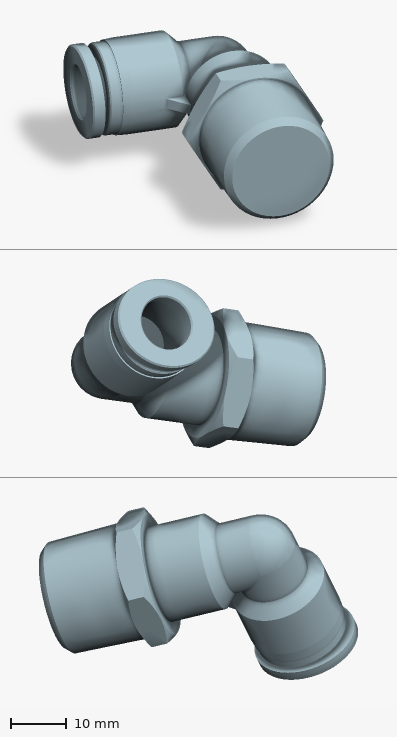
import cadquery as cq
import math


neck_radius = 6.45
shell_radius = 17.6 / 2
cone_length = shell_radius - neck_radius
thread_arm_cone_at = 6.45
tube_arm_cone_at = 6.85
taper_at = 18.3
step_at = 20.3
mouth_at = 22.6
taper_end_radius = 8.7
mouth_radius = 16.9 / 2
mouth_chamfer = 0.25
gusset_leg = 3.5
gusset_thickness = 1.95

sleeve_outer_radius = 11.9 / 2
sleeve_bore_radius = 9.75 / 2
bore_chamfer = 0.3
tube_hole_depth = 12.12
sleeve_length = 5.6
flange_width = 19.0
flange_height = 16.6
flange_at = 23.9
flange_end_at = 26.15
flange_chamfer = 0.3
sleeve_inner_at = flange_end_at - sleeve_length
tube_stop_at = flange_end_at - tube_hole_depth

hex_flats = 22.2
hex_at = 19.0
hex_end_at = 23.95
hex_chamfer_angle = 30
thread_end_at = 39.0
thread_root_radius = 10.7
thread_tip_radius = 10.3
thread_end_radius = 9.1
thread_chamfer_length = 1.3


def revolve_x(profile):
    """Solid of revolution about X from (position, radius) points."""
    return cq.Workplane("XY").polyline(profile).close().revolve(360, (0, 0, 0), (1, 0, 0))


def revolve_tube_arm(profile):
    """Solid of revolution about the -Y arm from (position, radius) points."""
    return revolve_x(profile).rotate((0, 0, 0), (0, 0, 1), -90)


def make_gusset():
    corner = shell_radius
    tip = shell_radius + gusset_leg
    return (
        cq.Workplane("XY")
        .polyline([(0, 0), (corner, 0), (tip, -corner), (corner, -tip), (0, -corner)])
        .close()
        .extrude(gusset_thickness / 2, both=True)
    )


def make_elbow():
    thread_arm = revolve_x([
        (0, 0),
        (0, neck_radius),
        (thread_arm_cone_at, neck_radius),
        (thread_arm_cone_at + cone_length, shell_radius),
        (hex_at, shell_radius),
        (hex_at, 0),
    ])
    tube_arm = revolve_tube_arm([
        (0, 0),
        (0, neck_radius),
        (tube_arm_cone_at, neck_radius),
        (tube_arm_cone_at + cone_length, shell_radius),
        (taper_at, shell_radius),
        (step_at, taper_end_radius),
        (step_at, mouth_radius),
        (mouth_at - mouth_chamfer, mouth_radius),
        (mouth_at, mouth_radius - mouth_chamfer),
        (mouth_at, 0),
    ])
    socket = revolve_tube_arm([
        (tube_stop_at, 0),
        (tube_stop_at, sleeve_bore_radius),
        (sleeve_inner_at, sleeve_bore_radius),
        (sleeve_inner_at, sleeve_outer_radius),
        (mouth_at, sleeve_outer_radius),
        (mouth_at, 0),
    ])
    corner_ball = cq.Workplane("XY").sphere(neck_radius)
    return thread_arm.union(tube_arm).union(corner_ball).union(make_gusset()).cut(socket)


def make_sleeve():
    neck = revolve_tube_arm([
        (sleeve_inner_at, 0),
        (sleeve_inner_at, sleeve_outer_radius),
        (flange_at, sleeve_outer_radius),
        (flange_at, 0),
    ])
    flange = (
        cq.Workplane("XZ", origin=(0, -flange_at, 0))
        .ellipse(flange_width / 2, flange_height / 2)
        .extrude(flange_end_at - flange_at)
        .faces("<Y")
        .chamfer(flange_chamfer)
    )
    bore = revolve_tube_arm([
        (sleeve_inner_at, 0),
        (sleeve_inner_at, sleeve_bore_radius),
        (flange_end_at - bore_chamfer, sleeve_bore_radius),
        (flange_end_at, sleeve_bore_radius + bore_chamfer),
        (flange_end_at, 0),
    ])
    return neck.union(flange).cut(bore)


def make_nipple():
    corner_radius = hex_flats / 2 / math.cos(math.radians(30))
    chamfer_length = (corner_radius - hex_flats / 2) * math.tan(math.radians(hex_chamfer_angle))
    hexagon = (
        cq.Workplane("YZ", origin=(hex_at, 0, 0))
        .polygon(6, 2 * corner_radius)
        .extrude(hex_end_at - hex_at)
    )
    corner_cones = revolve_x([
        (hex_at, 0),
        (hex_at, hex_flats / 2),
        (hex_at + chamfer_length, corner_radius),
        (hex_end_at - chamfer_length, corner_radius),
        (hex_end_at, hex_flats / 2),
        (hex_end_at, 0),
    ])
    thread = revolve_x([
        (hex_end_at, 0),
        (hex_end_at, thread_root_radius),
        (thread_end_at - thread_chamfer_length, thread_tip_radius),
        (thread_end_at, thread_end_radius),
        (thread_end_at, 0),
    ])
    return hexagon.intersect(corner_cones).union(thread)


elbow = make_elbow()
sleeve = make_sleeve()
nipple = make_nipple()

result = cq.Compound.makeCompound([elbow.val(), sleeve.val(), nipple.val()])